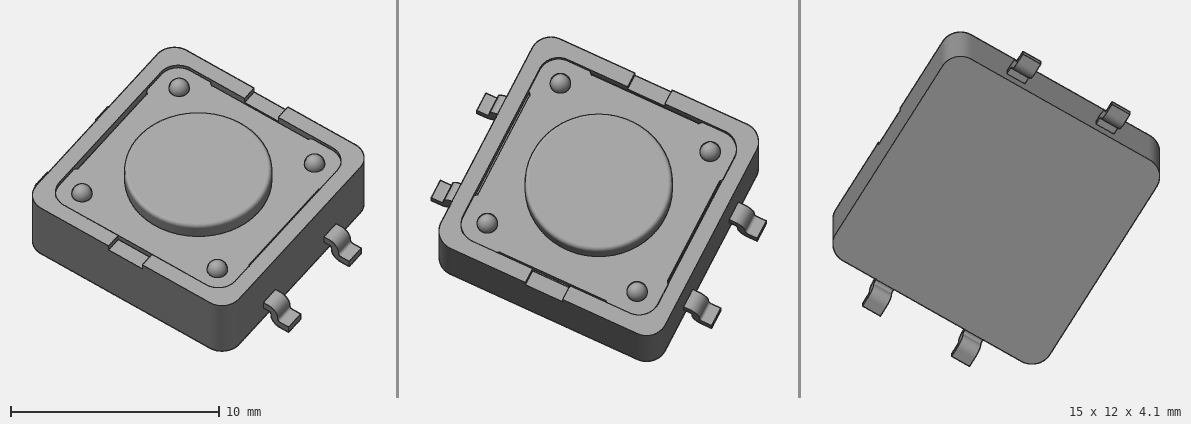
import cadquery as cq
import math

housing_width = 12.0
housing_height = 3.5
corner_radius = 1.0

wall_thickness = 0.8
recess_width = housing_width - 2 * wall_thickness
recess_corner_radius = 1.0

notch_width = 2.0
notch_depth = 0.3

cover_drop = 0.2
cover_thickness = 0.3
cover_top = housing_height - cover_drop
cover_bottom = cover_top - cover_thickness
relief_length = 6.0
relief_depth = 0.14

overall_height = 4.1
button_diameter = 7.1
button_edge_radius = 0.2
dome_radius = 0.5
dome_offset = 4.0

overall_length = 15.0
lead_reach = (overall_length - housing_width) / 2
lead_width = 1.0
lead_thickness = 0.4
lead_height = 1.2
lead_foot_length = 0.5
lead_inner_bend = 0.15
lead_outer_bend = lead_inner_bend + lead_thickness
lead_pitch = 5.0


def rounded_square(width, radius, bottom, height):
    """Upright square block with rounded vertical edges."""
    return (
        cq.Workplane("XY", origin=(0, 0, bottom))
        .rect(width, width)
        .extrude(height)
        .edges("|Z")
        .fillet(radius)
    )


def make_housing():
    box = rounded_square(housing_width, corner_radius, 0, housing_height)
    recess = rounded_square(
        recess_width, recess_corner_radius, cover_bottom, housing_height - cover_bottom
    )
    notches = cq.Workplane("XY", origin=(0, 0, housing_height - notch_depth)).box(
        notch_width, housing_width, notch_depth, centered=(True, True, False)
    )
    return box.cut(recess).cut(notches)


def make_edge_relief(turn):
    """Shallow cut with 45 degree ends along one side of the cover."""
    half_length = relief_length / 2
    edge = recess_width / 2
    return (
        cq.Workplane("XY", origin=(0, 0, cover_bottom))
        .moveTo(-half_length, edge)
        .lineTo(-half_length + relief_depth, edge - relief_depth)
        .lineTo(half_length - relief_depth, edge - relief_depth)
        .lineTo(half_length, edge)
        .close()
        .extrude(cover_thickness)
        .rotate((0, 0, 0), (0, 0, 1), turn)
    )


def make_dome(x, y):
    """Half ball standing on the cover."""
    ball = cq.Workplane("XY").sphere(dome_radius)
    upper_half = cq.Workplane("XY").box(
        2 * dome_radius, 2 * dome_radius, dome_radius, centered=(True, True, False)
    )
    return ball.intersect(upper_half).translate((x, y, cover_top))


def make_cover():
    """Cover plate with the button and the corner domes in one piece."""
    cover = rounded_square(recess_width, recess_corner_radius, cover_bottom, cover_thickness)
    for turn in (0, 90, 180, 270):
        cover = cover.cut(make_edge_relief(turn))
    button = (
        cq.Workplane("XY", origin=(0, 0, cover_top))
        .circle(button_diameter / 2)
        .extrude(overall_height - cover_top)
        .faces(">Z")
        .edges()
        .fillet(button_edge_radius)
    )
    cover = cover.union(button)
    for x in (-dome_offset, dome_offset):
        for y in (-dome_offset, dome_offset):
            cover = cover.union(make_dome(x, y))
    return cover


def make_lead(y, turn):
    """Lead on the +X wall centred at y, then turned about Z to its own side."""
    wall = housing_width / 2
    tip = wall + lead_reach
    foot_end = tip - lead_foot_length
    riser_outer = foot_end - lead_inner_bend
    riser_inner = riser_outer - lead_thickness
    arm_end = riser_inner - lead_inner_bend
    arm_bottom = lead_height - lead_thickness
    riser_bottom = lead_outer_bend
    riser_top = lead_height - lead_outer_bend
    diagonal = math.sqrt(0.5)

    inner_mid = lead_inner_bend * diagonal
    outer_mid = lead_outer_bend * diagonal
    return (
        cq.Workplane("XZ", origin=(0, y + lead_width / 2, 0))
        .moveTo(wall, lead_height)
        .lineTo(arm_end, lead_height)
        .threePointArc((arm_end + outer_mid, riser_top + outer_mid), (riser_outer, riser_top))
        .lineTo(riser_outer, riser_bottom)
        .threePointArc((foot_end - inner_mid, riser_bottom - inner_mid), (foot_end, lead_thickness))
        .lineTo(tip, lead_thickness)
        .lineTo(tip, 0)
        .lineTo(foot_end, 0)
        .threePointArc((foot_end - outer_mid, riser_bottom - outer_mid), (riser_inner, riser_bottom))
        .lineTo(riser_inner, riser_top)
        .threePointArc((arm_end + inner_mid, riser_top + inner_mid), (arm_end, arm_bottom))
        .lineTo(wall, arm_bottom)
        .close()
        .extrude(lead_width)
        .rotate((0, 0, 0), (0, 0, 1), turn)
    )


housing = make_housing()
cover = make_cover()
leads = []
for turn in (0, 180):
    for y in (-lead_pitch / 2, lead_pitch / 2):
        leads.append(make_lead(y, turn).val())

result = cq.Compound.makeCompound([housing.val(), cover.val(), *leads])